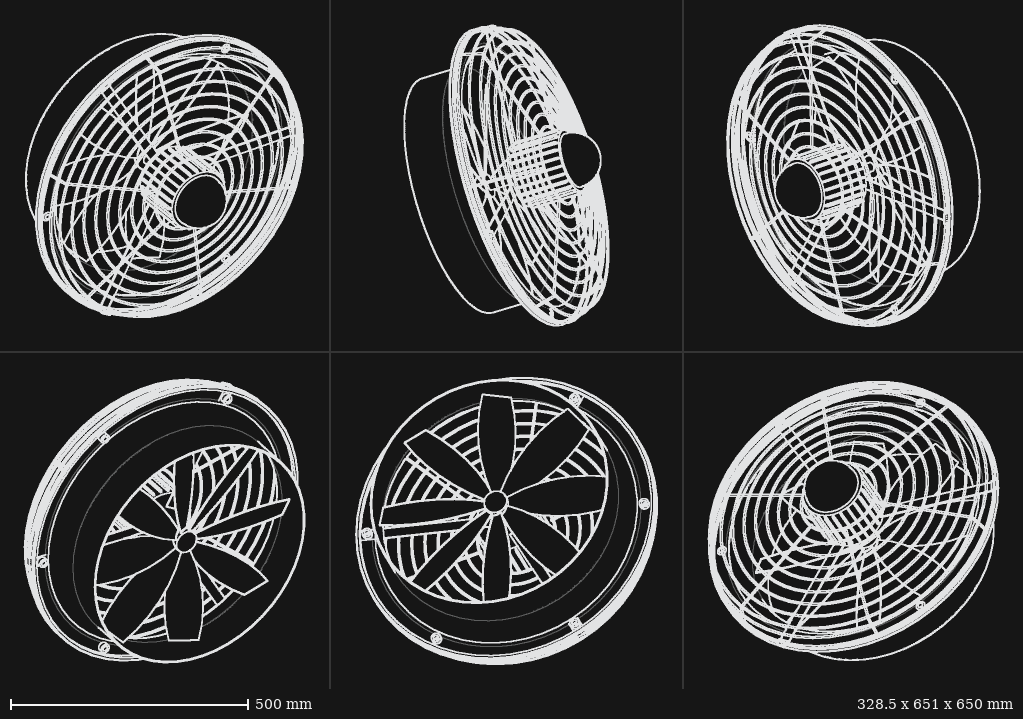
import cadquery as cq
import math


joint_overlap = 3.0

duct_radius = 258.0
wall = 2.5
duct_length = 89.0
bell_radius = 70.5
bell_middle = 122.5
bell_end = 144.5
flange_front = 146.0
flange_thickness = 2.0
flange_back = flange_front + flange_thickness
mouth_edge_radius = 292.5

rim_radius = 325.0
rim_inner_radius = 317.0
rim_front = 137.5
rim_shoulder = 144.5
rim_back = 148.5
rim_round = 2.0
rim_back_drop = 3.0

bushing_count = 6
bushing_circle_radius = 301.0
bushing_radius = 10.0
bushing_hole_radius = 5.0
bushing_front = 135.5

strut_angles = (60, 180, 300)
strut_width = 22.0
strut_front = 147.0
strut_thickness = 3.0
strut_back = strut_front + strut_thickness
clip_thickness = 2.5
clip_low_radius = 318.0
clip_top_radius = 326.0
clip_step = 152.5
clip_end = 164.0

motor_front = 149.0
motor_radius = 67.0
motor_back = 269.0
dome_radius = 58.5
dome_centre = 270.0
fin_count = 24
fin_radius = 72.0
fin_thickness = 2.5
fin_front = 157.5
fin_back = 267.0
fin_chamfer = 4.5

hub_radius = 25.0
hub_front = 53.5
hub_back = 75.0
hub_dome_height = 10.5
shaft_radius = 10.0
blade_count = 8
blade_centre = 65.0
blade_pitch = 29
blade_thickness = 2.0
blade_root_radius = 19.5
blade_root_half_width = 10.5
blade_mid_radius = 163.0
blade_mid_half_width = 41.0
blade_tip_radius = 251.0
blade_tip_half_width = 31.0

wire_radius = 2.0
weld_offset = 3.0
side_rings = ((157.5, 323.0), (181.0, 315.0))
ring_seam_angle = -10
cone_ring_count = 9
cone_start = 202.5
cone_start_radius = 306.0
cone_step = 4.0
cone_end_radius = 84.5
cone_radius_step = (cone_start_radius - cone_end_radius) / (cone_ring_count - 1)
spoke_count = 6
spoke_first_angle = 20
spoke_start = 152.0
spoke_start_radius = 321.0
spoke_knee_radius = 307.5


def around_axis(body, angle):
    """Turn a body built pointing to -Y about the X axis, from -Y towards +Z."""
    return body.rotate((0, 0, 0), (1, 0, 0), -angle)


def revolve_profile(profile):
    """Revolve a profile drawn as (axial position, radius) about the X axis."""
    return profile.close().revolve(360, (0, 0, 0), (1, 0, 0))


def cylinder(start, end, radius):
    return cq.Workplane("YZ", origin=(start, 0, 0)).circle(radius).extrude(end - start)


def block(x_range, radius_range, width):
    """Box pointing to -Y, centred on Z."""
    x0, x1 = x_range
    r0, r1 = radius_range
    return cq.Workplane("XY").box(x1 - x0, r1 - r0, width).translate(((x0 + x1) / 2, -(r0 + r1) / 2, 0))


def bell_point(radius, x):
    """Point at axial position x on the flare arc of the given radius."""
    centre_radius = duct_radius + bell_radius
    return (x, centre_radius - math.sqrt(radius**2 - (x - duct_length) ** 2))


def make_duct():
    outer_arc = bell_radius
    inner_arc = bell_radius + wall
    profile = (
        cq.Workplane("XY")
        .moveTo(0, duct_radius - wall)
        .lineTo(0, duct_radius)
        .lineTo(duct_length, duct_radius)
        .threePointArc(bell_point(outer_arc, bell_middle), bell_point(outer_arc, bell_end))
        .lineTo(flange_front, mouth_edge_radius)
        .lineTo(flange_front, rim_inner_radius)
        .lineTo(rim_front, rim_inner_radius)
        .lineTo(rim_front, rim_radius - rim_round)
        .lineTo(rim_front + rim_round, rim_radius)
        .lineTo(rim_front + 2 * rim_round, rim_radius)
        .lineTo(rim_shoulder, rim_radius - rim_back_drop)
        .lineTo(rim_back, rim_radius - rim_back_drop)
        .lineTo(rim_back, rim_inner_radius)
        .lineTo(flange_back, rim_inner_radius)
        .lineTo(flange_back, mouth_edge_radius)
        .lineTo(*bell_point(inner_arc, flange_back))
        .threePointArc(bell_point(inner_arc, bell_middle), (duct_length, duct_radius - wall))
    )
    return revolve_profile(profile)


def add_bushings(body):
    for i in range(bushing_count):
        angle = i * 360 / bushing_count
        bushing = cylinder(bushing_front, flange_back, bushing_radius)
        hole = cylinder(bushing_front, rim_back, bushing_hole_radius)
        bushing = bushing.translate((0, -bushing_circle_radius, 0))
        hole = hole.translate((0, -bushing_circle_radius, 0))
        body = body.union(around_axis(bushing, angle)).cut(around_axis(hole, angle))
    return body


def make_strut(angle):
    plate = block((strut_front, strut_back), (motor_radius / 2, clip_low_radius), strut_width)
    low = block(
        (strut_front, clip_step + clip_thickness),
        (clip_low_radius - clip_thickness, clip_low_radius),
        strut_width,
    )
    riser = block(
        (clip_step, clip_step + clip_thickness),
        (clip_low_radius - clip_thickness, clip_top_radius),
        strut_width,
    )
    top = block((clip_step, clip_end), (clip_top_radius - clip_thickness, clip_top_radius), strut_width)
    return around_axis(plate.union(low).union(riser).union(top), angle)


def make_motor():
    body = cylinder(motor_front, motor_back, motor_radius)
    dome = cq.Workplane("XY").sphere(dome_radius).translate((dome_centre, 0, 0))
    body = body.union(dome)
    fin = (
        cq.Workplane("XY")
        .polyline(
            [
                (fin_front, -motor_radius + joint_overlap),
                (fin_front, -fin_radius),
                (fin_back - fin_chamfer, -fin_radius),
                (fin_back, -fin_radius + fin_chamfer),
                (fin_back, -motor_radius + joint_overlap),
            ]
        )
        .close()
        .extrude(fin_thickness / 2, both=True)
    )
    for i in range(fin_count):
        body = body.union(around_axis(fin, i * 360 / fin_count))
    return body


def make_hub():
    dome_sphere = (hub_radius**2 + hub_dome_height**2) / (2 * hub_dome_height)
    nose = hub_front - hub_dome_height
    half_angle = math.asin(hub_radius / dome_sphere) / 2
    arc_middle = (nose + dome_sphere * (1 - math.cos(half_angle)), dome_sphere * math.sin(half_angle))
    profile = (
        cq.Workplane("XY")
        .moveTo(nose, 0)
        .threePointArc(arc_middle, (hub_front, hub_radius))
        .lineTo(hub_back, hub_radius)
        .lineTo(hub_back, shaft_radius)
        .lineTo(motor_front + joint_overlap, shaft_radius)
        .lineTo(motor_front + joint_overlap, 0)
    )
    return revolve_profile(profile)


def make_blade(angle):
    """Flat, pitched blade with two bowed edges and a straight tip."""
    blade = (
        cq.Workplane("YZ")
        .moveTo(-blade_root_radius, -blade_root_half_width)
        .threePointArc((-blade_mid_radius, -blade_mid_half_width), (-blade_tip_radius, -blade_tip_half_width))
        .lineTo(-blade_tip_radius, blade_tip_half_width)
        .threePointArc((-blade_mid_radius, blade_mid_half_width), (-blade_root_radius, blade_root_half_width))
        .close()
        .extrude(blade_thickness / 2, both=True)
        .rotate((0, 0, 0), (0, 1, 0), -blade_pitch)
        .translate((blade_centre, 0, 0))
    )
    return around_axis(blade, angle)


def make_ring(x, radius):
    """Closed wire ring, turned so that its seam lies clear of the spokes."""
    ring = cq.Solid.makeTorus(radius, wire_radius, cq.Vector(x, 0, 0), cq.Vector(1, 0, 0))
    return around_axis(cq.Workplane(ring), ring_seam_angle)


def make_spoke(angle):
    """Bent rod on the inside of the rings, down the side and along the cone."""
    knee_x = cone_start - weld_offset
    end_x = knee_x + (cone_ring_count - 1) * cone_step
    end_radius = cone_end_radius - 2 * wire_radius
    points = [(spoke_start, -spoke_start_radius), (knee_x, -spoke_knee_radius), (end_x, -end_radius)]
    path = cq.Workplane("XY").polyline(points)
    start = cq.Vector(*points[0])
    direction = cq.Vector(*points[1]) - start
    section = cq.Workplane(cq.Plane(start, (0, 0, 1), direction)).circle(wire_radius)
    spoke = section.sweep(path, transition="right")
    return around_axis(spoke, angle)


cone_rings = [
    (cone_start + i * cone_step, cone_start_radius - i * cone_radius_step) for i in range(cone_ring_count)
]

result = add_bushings(make_duct())
for strut_angle in strut_angles:
    result = result.union(make_strut(strut_angle))
result = result.union(make_motor()).union(make_hub())
for i in range(blade_count):
    result = result.union(make_blade(i * 360 / blade_count))

rings = [make_ring(x, radius).val() for x, radius in (*side_rings, *cone_rings)]
spokes = [make_spoke(spoke_first_angle + i * 360 / spoke_count).val() for i in range(spoke_count)]
guard = spokes[0].fuse(*spokes[1:], *rings)
result = result.union(cq.Workplane(guard))